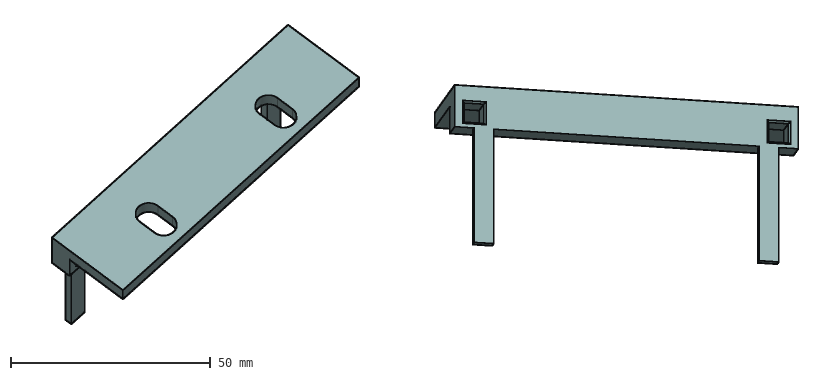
import cadquery as cq

length = 88.0
depth = 24.0
height = 41.0

plate_thickness = 4.0
wall_thickness = 6.0
wall_height = 11.0

leg_thickness = 2.0
leg_width = 5.0
leg_end_gap = 5.0

window_size = 5.0
window_chamfer = 0.5
window_end_distance = 5.0
window_mouth = window_size + 2 * window_chamfer
window_z = -plate_thickness - window_mouth / 2

slot_length = 11.6
slot_width = 6.6
slot_x = 15.6
slot_spacing = 44.6



def make_bracket():
    """L profile extruded along Y."""
    profile = [
        (0, 0),
        (depth, 0),
        (depth, -plate_thickness),
        (wall_thickness, -plate_thickness),
        (wall_thickness, -wall_height),
        (0, -wall_height),
    ]
    return cq.Workplane("XZ").polyline(profile).close().extrude(length / 2, both=True)


def make_leg(side):
    """Leg reaching from the wall's underside to the bottom of the part."""
    leg_y = side * (length / 2 - leg_end_gap - leg_width / 2)
    return (
        cq.Workplane("XY", origin=(leg_thickness / 2, leg_y, -height))
        .rect(leg_thickness, leg_width)
        .extrude(height - wall_height)
    )


def make_window_cutter(side):
    """Square through-hole plus the tapered mouth on the outer wall face."""
    window_y = side * (length / 2 - window_end_distance)
    outer_face = cq.Workplane("YZ", origin=(0, window_y, window_z))
    hole = outer_face.rect(window_size, window_size).extrude(wall_thickness)
    mouth = outer_face.rect(window_mouth, window_mouth).extrude(window_chamfer, taper=45)
    return hole.union(mouth)


def make_slot_cutter(side):
    """Rounded slot through the plate, long side along X."""
    return (
        cq.Workplane("XY", origin=(slot_x, side * slot_spacing / 2, 0))
        .slot2D(slot_length, slot_width)
        .extrude(-plate_thickness)
    )


result = make_bracket()
for side in (-1, 1):
    result = result.union(make_leg(side))
    result = result.cut(make_window_cutter(side))
    result = result.cut(make_slot_cutter(side))